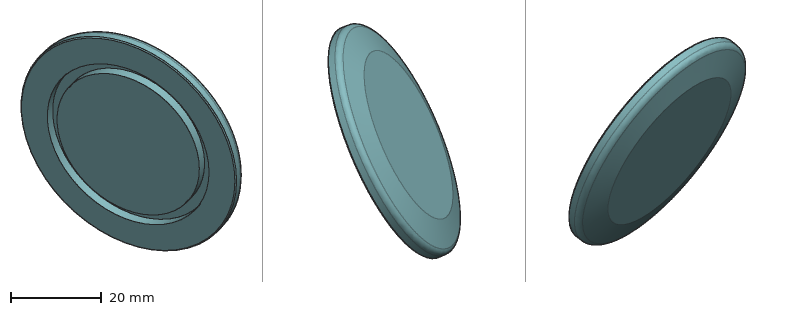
import cadquery as cq
import math

outer_radius = 27.5
thickness = 5.05
back_flat_radius = 20.0
cone_angle = 15.0
rim_fillet = 1.5
front_chamfer = 0.3

groove_outer_radius = 20.6
groove_inner_radius = 18.15
groove_depth = 2.3

rim_height = thickness - (outer_radius - back_flat_radius) * math.tan(math.radians(cone_angle))


def make_body():
    """Revolve the half section and ease the two rim edges."""
    section = (
        cq.Workplane("XY")
        .polyline([
            (0, 0),
            (outer_radius, 0),
            (outer_radius, rim_height),
            (back_flat_radius, thickness),
            (0, thickness),
        ])
        .close()
    )
    body = section.revolve(360, (0, 0, 0), (0, 1, 0))
    rim_edge = cq.selectors.BoxSelector(
        (-outer_radius, rim_height - front_chamfer, -outer_radius),
        (2 * outer_radius, rim_height + front_chamfer, outer_radius),
    )
    body = body.edges("%CIRCLE").edges(rim_edge).fillet(rim_fillet)
    return body.faces("<Y").edges().chamfer(front_chamfer)


def make_groove():
    """Ring that cuts the groove, leaving a central plateau."""
    return (
        cq.Workplane("XZ")
        .circle(groove_outer_radius)
        .circle(groove_inner_radius)
        .extrude(-groove_depth)
    )


result = make_body().cut(make_groove())